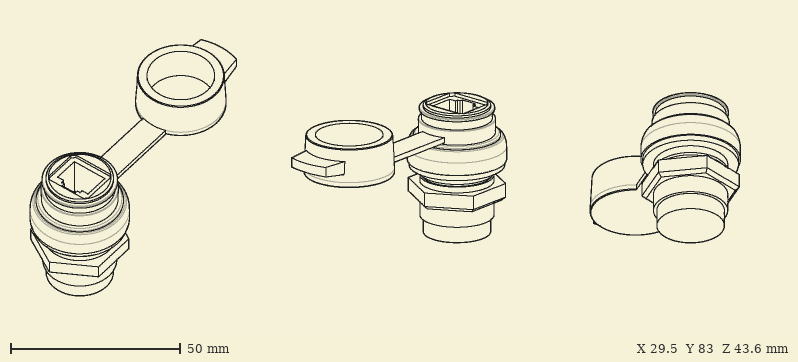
import cadquery as cq
import math


TAIL_TOP = 5.2
NUT_BOTTOM = 10.7
NUT_TOP = 16.0
GROOVE_BOTTOM = 17.85
GROOVE_TOP = 18.7
GASKET_BOTTOM = 21.0
FLANGE_BOTTOM = 22.75
FLANGE_ROUND_START = 26.7
FLANGE_TOP = 30.2
SEAT_TOP = 31.1
RING_TOP = 35.6
LIP_BOTTOM = 38.35
LIP_TOP = 39.2
HOUSING_TOP = 40.25

TAIL_DIAMETER = 20.0
THREAD_DIAMETER = 22.0
GROOVE_DIAMETER = 20.7
FLANGE_DIAMETER = 29.5
FLANGE_TOP_DIAMETER = 27.5
SEAT_DIAMETER = 25.9
NECK_DIAMETER = 21.0
LIP_DIAMETER = 22.4
NOSE_DIAMETER = 20.0
NOSE_BEVEL_WIDTH = 0.75
NOSE_BEVEL_HEIGHT = 0.4
LIP_FILLET = 0.2
SHOULDER_FILLET = 0.5

RECESS_WIDTH = 14.8
RECESS_LENGTH = 12.8
RECESS_DEPTH = 1.0
RECESS_CORNER_CHAMFER = 1.1
PORT_WIDTH = 11.4
PORT_BACK = 4.7
PORT_FRONT = -3.3
LATCH_STEP_WIDTH = 6.9
LATCH_STEP_FRONT = -4.3
LATCH_WIDTH = 4.9
LATCH_FRONT = -5.3
PORT_DEPTH = 12.45

GASKET_DIAMETER = 28.4
NUT_ACROSS_FLATS = 25.4
NUT_CHAMFER = 1.1
HALF_HEX_ANGLE = 30

OVERALL_LENGTH = 83.0
TAB_TIP = 19.5
CAP_OFFSET = OVERALL_LENGTH - FLANGE_DIAMETER / 2 - TAB_TIP
CAP_BOTTOM = 31.6
CAP_FLOOR = 33.3
CAP_TOP = 43.6
CAP_BASE_DIAMETER = 26.8
CAP_TOP_DIAMETER = 25.7
CAP_BORE_DIAMETER = 20.0
CAP_EDGE = 0.25
STRAP_WIDTH = 8.4
RING_TOP_DIAMETER = 22.9
RING_BOTTOM_DIAMETER = 22.75
RING_FILLET = 0.2
STRAP_START = 9.1

TAB_TIP_WIDTH = 13.3
TAB_ROOT = 11.4
TAB_ROOT_WIDTH = 14.85
TAB_TOP = 39.75
TAB_TIP_BOTTOM = 36.9
TAB_ROOT_BOTTOM = 35.8


def disc(diameter, bottom, top):
    """Cylinder on the connector axis between two heights."""
    return cq.Workplane("XY").workplane(offset=bottom).circle(diameter / 2).extrude(top - bottom)


def cone(bottom_diameter, top_diameter, bottom, top):
    """Truncated cone on the connector axis between two heights."""
    solid = cq.Solid.makeCone(
        bottom_diameter / 2,
        top_diameter / 2,
        top - bottom,
        pnt=cq.Vector(0, 0, bottom),
    )
    return cq.Workplane(solid)


def make_flange():
    """Flange whose upper side curves in from the rim to its rounded top edge."""
    rim = FLANGE_DIAMETER / 2
    inset = rim - FLANGE_TOP_DIAMETER / 2
    rise = FLANGE_TOP - FLANGE_ROUND_START
    radius = (rise**2 + inset**2) / (2 * inset)
    half_angle = math.asin(rise / radius) / 2
    arc_middle = (
        rim - radius * (1 - math.cos(half_angle)),
        FLANGE_ROUND_START + radius * math.sin(half_angle),
    )
    return (
        cq.Workplane("XZ")
        .moveTo(0, FLANGE_BOTTOM)
        .lineTo(rim, FLANGE_BOTTOM)
        .lineTo(rim, FLANGE_ROUND_START)
        .threePointArc(arc_middle, (rim - inset, FLANGE_TOP))
        .lineTo(0, FLANGE_TOP)
        .close()
        .revolve(360, (0, 0, 0), (0, 1, 0))
        .faces(">Z")
        .edges()
        .fillet(SHOULDER_FILLET)
    )


def make_jack_opening():
    """Shallow recess with cut corners, and the stepped plug port sunk below it."""
    recess_floor = HOUSING_TOP - RECESS_DEPTH
    opening = (
        cq.Workplane("XY")
        .workplane(offset=recess_floor)
        .rect(RECESS_WIDTH, RECESS_LENGTH)
        .extrude(RECESS_DEPTH)
        .edges("|Z")
        .chamfer(RECESS_CORNER_CHAMFER)
    )
    steps = [
        (PORT_WIDTH, PORT_FRONT),
        (LATCH_STEP_WIDTH, LATCH_STEP_FRONT),
        (LATCH_WIDTH, LATCH_FRONT),
    ]
    for width, front in steps:
        slot = (
            cq.Workplane("XY")
            .workplane(offset=recess_floor - PORT_DEPTH)
            .center(0, (PORT_BACK + front) / 2)
            .rect(width, PORT_BACK - front)
            .extrude(PORT_DEPTH)
        )
        opening = opening.union(slot)
    return opening


def make_housing():
    tail = disc(TAIL_DIAMETER, 0, TAIL_TOP)
    thread = disc(THREAD_DIAMETER, TAIL_TOP, GROOVE_BOTTOM)
    shoulder = disc(THREAD_DIAMETER, GROOVE_TOP, FLANGE_BOTTOM)
    undercut = cone(GROOVE_DIAMETER, THREAD_DIAMETER, GROOVE_BOTTOM, GROOVE_TOP)
    flange = make_flange()
    seat = disc(SEAT_DIAMETER, FLANGE_TOP, SEAT_TOP).faces(">Z").edges().fillet(SHOULDER_FILLET)
    neck = disc(NECK_DIAMETER, SEAT_TOP, LIP_BOTTOM)
    lip = disc(LIP_DIAMETER, LIP_BOTTOM, LIP_TOP).edges().fillet(LIP_FILLET)
    bevel_bottom = HOUSING_TOP - NOSE_BEVEL_HEIGHT
    nose = disc(NOSE_DIAMETER, LIP_TOP, bevel_bottom)
    bevel = cone(NOSE_DIAMETER, NOSE_DIAMETER - 2 * NOSE_BEVEL_WIDTH, bevel_bottom, HOUSING_TOP)

    housing = tail
    for section in (thread, undercut, shoulder, flange, seat, neck, lip, nose, bevel):
        housing = housing.union(section)
    return housing.cut(make_jack_opening())


def make_gasket():
    ring = disc(GASKET_DIAMETER, GASKET_BOTTOM, FLANGE_BOTTOM)
    return ring.cut(disc(THREAD_DIAMETER, GASKET_BOTTOM, FLANGE_BOTTOM))


def make_nut():
    """Hexagon with two flats facing +X and -X, chamfered along its lower edges."""
    corner_circle = NUT_ACROSS_FLATS / math.cos(math.radians(HALF_HEX_ANGLE))
    hexagon = (
        cq.Workplane("XY")
        .polygon(6, corner_circle)
        .extrude(NUT_TOP - NUT_BOTTOM)
        .faces("<Z")
        .edges()
        .chamfer(NUT_CHAMFER)
        .rotate((0, 0, 0), (0, 0, 1), HALF_HEX_ANGLE)
        .translate((0, 0, NUT_BOTTOM))
    )
    return hexagon.cut(disc(THREAD_DIAMETER, NUT_BOTTOM, NUT_TOP))


def make_tab():
    """Tapered pull tab with a round tip, thinner at the tip than at the cap wall."""
    tip_half = TAB_TIP_WIDTH / 2
    tip_corner = math.sqrt(TAB_TIP**2 - tip_half**2)
    side_slope = (TAB_ROOT_WIDTH / 2 - tip_half) / (tip_corner - TAB_ROOT)
    axis_half = tip_half + side_slope * tip_corner
    outline = (
        cq.Workplane("XY")
        .moveTo(-axis_half, 0)
        .lineTo(-tip_half, tip_corner)
        .threePointArc((0, TAB_TIP), (tip_half, tip_corner))
        .lineTo(axis_half, 0)
        .close()
        .extrude(TAB_TOP)
    )
    bottom_slope = (TAB_ROOT_BOTTOM - TAB_TIP_BOTTOM) / (TAB_TIP - TAB_ROOT)
    side_profile = (
        cq.Workplane("YZ")
        .moveTo(0, TAB_TOP)
        .lineTo(TAB_TIP, TAB_TOP)
        .lineTo(TAB_TIP, TAB_TIP_BOTTOM)
        .lineTo(0, TAB_TIP_BOTTOM + bottom_slope * TAB_TIP)
        .close()
        .extrude(axis_half, both=True)
    )
    return outline.intersect(side_profile)


def make_cap():
    """Tapered cup with its pull tab, joined by a flat strap to the ring round the neck."""
    base = disc(CAP_BASE_DIAMETER, CAP_BOTTOM, CAP_FLOOR).faces("<Z").edges().chamfer(CAP_EDGE)
    wall = cone(CAP_BASE_DIAMETER, CAP_TOP_DIAMETER, CAP_FLOOR, CAP_TOP)
    wall = wall.faces(">Z").edges().chamfer(CAP_EDGE)
    bore = disc(CAP_BORE_DIAMETER, CAP_FLOOR, CAP_TOP)
    cup = base.union(wall).union(make_tab()).cut(bore).translate((0, CAP_OFFSET, 0))

    strap = (
        cq.Workplane("XY")
        .workplane(offset=CAP_BOTTOM)
        .center(0, (STRAP_START + CAP_OFFSET) / 2)
        .rect(STRAP_WIDTH, CAP_OFFSET - STRAP_START)
        .extrude(CAP_FLOOR - CAP_BOTTOM)
    )
    ring = cone(RING_BOTTOM_DIAMETER, RING_TOP_DIAMETER, SEAT_TOP, RING_TOP)
    ring = ring.faces(">Z").edges().fillet(RING_FILLET)
    neck_hole = disc(NECK_DIAMETER, SEAT_TOP, RING_TOP)
    tether = ring.union(strap).cut(neck_hole)
    return cup.union(tether)


housing = make_housing()
gasket = make_gasket()
nut = make_nut()
cap = make_cap()

result = cq.Compound.makeCompound([housing.val(), gasket.val(), nut.val(), cap.val()])